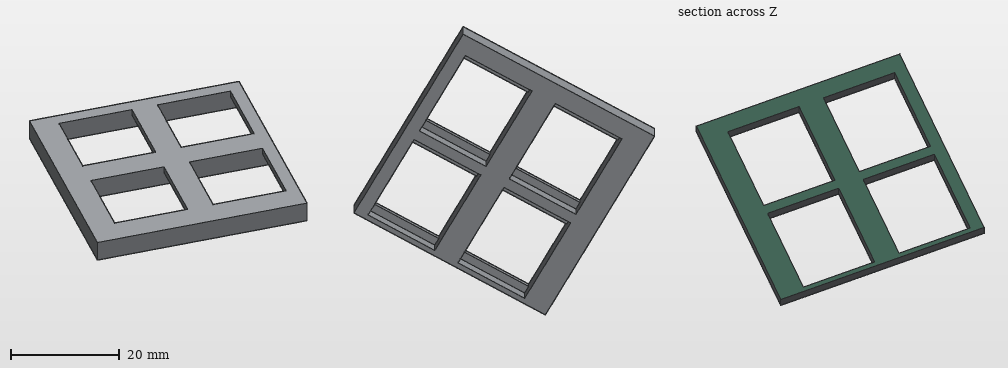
import cadquery as cq

plate_thickness = 4.0
plate_turn = -15.0

windows_per_side = 2
window_size = 14.1
window_pitch = 19.05
bar_width = window_pitch - window_size

narrow_margin = bar_width / 2
plate_size = narrow_margin + windows_per_side * window_pitch

lip_thickness = 1.25
undercut_depth = 1.5
undercut_height = plate_thickness - lip_thickness


def box_on_base(size_x, size_y, height):
    """Box centred on Z that rises from the plate's bottom face."""
    return cq.Workplane("XY").box(size_x, size_y, height, centered=(True, True, False))


def make_plate():
    """Solid square plate."""
    return box_on_base(plate_size, plate_size, plate_thickness)


def make_window():
    """Cutting tool for one window: the opening and the undercut below its lip."""
    opening = box_on_base(window_size, window_size, plate_thickness)
    undercut = box_on_base(window_size, window_size + 2 * undercut_depth, undercut_height)
    return opening.union(undercut)


def window_centres():
    """Window centres, set out from the narrow margins on the -X and +Y sides."""
    first = narrow_margin + window_size / 2 - plate_size / 2
    steps = [first + i * window_pitch for i in range(windows_per_side)]
    return [(x, -y) for x in steps for y in steps]


result = make_plate()
for x, y in window_centres():
    result = result.cut(make_window().translate((x, y, 0)))
result = result.rotate((0, 0, 0), (0, 0, 1), plate_turn)